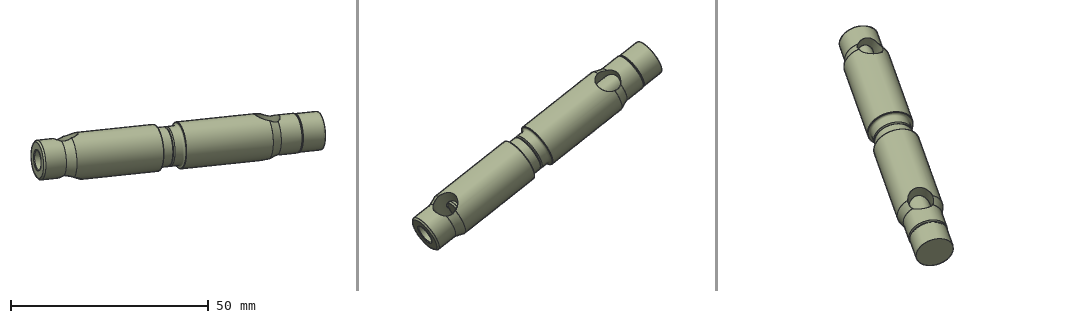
import cadquery as cq

total_length = 76.0
head_length = 6.0
sleeve_length = (total_length - head_length) / 2

body_radius = 12.0 / 2
neck_radius = 10.2 / 2

inner_neck_length = 3.0
outer_neck_length = 6.0
taper_length = 2.5
inner_chamfer = 0.3
outer_chamfer = 0.45
shoulder_fillet = 0.5
shoulder_chamfer = 0.15

shaft_radius = 6.0 / 2
tip_radius = 5.5 / 2
end_bore_radius = 5.0 / 2
end_bore_chamfer = 0.2

cross_hole_diameter = 6.5
cross_hole_from_end = 8.0
cross_hole_y = sleeve_length - cross_hole_from_end
lower_hole_tilt = 12.5

head_radius = 9.9 / 2
head_chamfer_length = 0.5
head_chamfer_depth = 0.1
tip_chamfer_length = 0.5
tip_chamfer_depth = 0.3
tip_end_from_sleeve_end = 10.0


def revolve_about_y(profile):
    """Full turn of a closed profile about the Y axis."""
    return profile.revolve(360, (0, 0, 0), (0, 1, 0))


def make_sleeve_blank():
    """Solid outer shape of a sleeve, from Y = 0 to its outer end at +Y."""
    outer_neck_start = sleeve_length - outer_neck_length
    profile = (
        cq.Workplane("XY")
        .lineTo(neck_radius - inner_chamfer, 0)
        .lineTo(neck_radius, inner_chamfer)
        .lineTo(neck_radius, inner_neck_length - shoulder_fillet)
        .radiusArc((neck_radius + shoulder_fillet, inner_neck_length), shoulder_fillet)
        .lineTo(body_radius - shoulder_chamfer, inner_neck_length)
        .lineTo(body_radius, inner_neck_length + shoulder_chamfer)
        .lineTo(body_radius, outer_neck_start - taper_length)
        .lineTo(neck_radius, outer_neck_start)
        .lineTo(neck_radius, sleeve_length - outer_chamfer)
        .lineTo(neck_radius - outer_chamfer, sleeve_length)
        .lineTo(0, sleeve_length)
        .close()
    )
    return revolve_about_y(profile)


def make_cross_hole(tilt):
    """Cutter for the hole across a sleeve, turned from Z about the Y axis by tilt degrees."""
    return (
        cq.Workplane("XY", origin=(0, cross_hole_y, -body_radius))
        .circle(cross_hole_diameter / 2)
        .extrude(2 * body_radius)
        .rotate((0, 0, 0), (0, 1, 0), tilt)
    )


def make_upper_sleeve():
    """Sleeve on the +Y side with one plain bore right through."""
    bore = revolve_about_y(cq.Workplane("XY").rect(shaft_radius, sleeve_length, centered=False))
    return make_sleeve_blank().cut(bore).cut(make_cross_hole(0))


def make_lower_sleeve():
    """Sleeve on the -Y side: tip bore up to the cross hole, then a narrower chamfered end bore."""
    bore_outline = [
        (0, 0),
        (tip_radius, 0),
        (tip_radius, cross_hole_y),
        (end_bore_radius, cross_hole_y),
        (end_bore_radius, sleeve_length - end_bore_chamfer),
        (end_bore_radius + end_bore_chamfer, sleeve_length),
        (0, sleeve_length),
    ]
    bore = revolve_about_y(cq.Workplane("XY").polyline(bore_outline).close())
    sleeve = make_sleeve_blank().cut(bore).cut(make_cross_hole(lower_hole_tilt))
    return sleeve.rotate((0, 0, 0), (0, 0, 1), 180)


def make_rod():
    """Headed rod: its shaft fills the upper bore and its tip ends inside the lower cross hole."""
    tip_end = tip_end_from_sleeve_end - sleeve_length
    head_end = sleeve_length + head_length
    outline = [
        (0, tip_end),
        (tip_radius - tip_chamfer_depth, tip_end),
        (tip_radius, tip_end + tip_chamfer_length),
        (tip_radius, 0),
        (shaft_radius, 0),
        (shaft_radius, sleeve_length),
        (head_radius, sleeve_length),
        (head_radius, head_end - head_chamfer_length),
        (head_radius - head_chamfer_depth, head_end),
        (0, head_end),
    ]
    return revolve_about_y(cq.Workplane("XY").polyline(outline).close())


upper_sleeve = make_upper_sleeve()
lower_sleeve = make_lower_sleeve()
rod = make_rod()

result = cq.Compound.makeCompound([upper_sleeve.val(), lower_sleeve.val(), rod.val()])